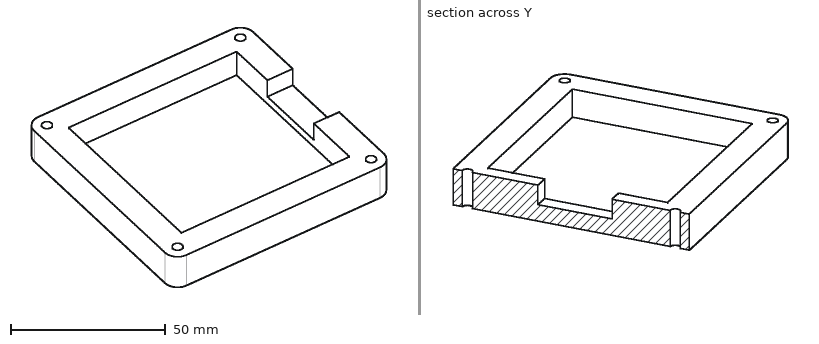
import cadquery as cq

length_x = 83.9
length_y = 86.3
height = 13.0
corner_radius = 5.0

wall = 10.0
floor_thickness = 3.0

notch_width = 26.2
notch_center_x = -1.4
notch_depth = 7.0

hole_diameter = 3.5


def make_block():
    """Plate standing on Z = 0 with rounded vertical corners."""
    block = cq.Workplane("XY").box(length_x, length_y, height, centered=(True, True, False))
    return block.edges("|Z").fillet(corner_radius)


def make_pocket():
    """Sharp-cornered recess that leaves an equal wall on all four sides."""
    return (
        cq.Workplane("XY")
        .workplane(offset=floor_thickness)
        .rect(length_x - 2 * wall, length_y - 2 * wall)
        .extrude(height - floor_thickness)
    )


def make_notch():
    """Rectangular gap from the pocket to the outside, open at the top."""
    return (
        cq.Workplane("XY")
        .workplane(offset=height - notch_depth)
        .center(notch_center_x, (length_y - wall) / 2)
        .rect(notch_width, wall)
        .extrude(notch_depth)
    )


def make_screw_holes():
    """Four through holes, one at the center of each corner arc."""
    return (
        cq.Workplane("XY")
        .rect(length_x - 2 * corner_radius, length_y - 2 * corner_radius, forConstruction=True)
        .vertices()
        .circle(hole_diameter / 2)
        .extrude(height)
    )


result = make_block().cut(make_pocket()).cut(make_notch()).cut(make_screw_holes())